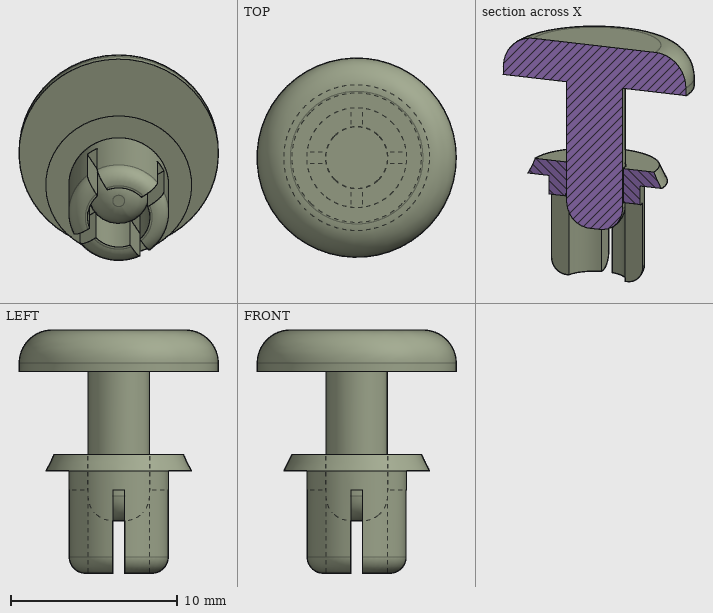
import cadquery as cq

total_height = 14.65
collar_top = 7.16
slot_top = 5.01
pin_tip = 3.16

head_diameter = 12.0
head_height = 2.5
head_round = 2.0
shank_diameter = 3.7
tip_round = 1.5

collar_height = 1.0
collar_top_diameter = 7.8
collar_base_diameter = 8.78
sleeve_diameter = 6.0
sleeve_foot_round = 1.0
bore_diameter = 3.75
slot_width = 0.7

head_base = total_height - head_height
collar_base = collar_top - collar_height


def make_pin():
    """Round-topped head and a shank with a rounded tip."""
    shank = (
        cq.Workplane("XY", origin=(0, 0, pin_tip))
        .circle(shank_diameter / 2)
        .extrude(head_base - pin_tip)
        .faces("<Z").edges().fillet(tip_round)
    )
    head = (
        cq.Workplane("XY", origin=(0, 0, head_base))
        .circle(head_diameter / 2)
        .extrude(head_height)
        .faces(">Z").edges().fillet(head_round)
    )
    return head.union(shank)


def make_slot(length_x, length_y):
    """Cutter for one slot that is open at the foot of the sleeve."""
    return cq.Workplane("XY").rect(length_x, length_y).extrude(slot_top)


def make_sleeve():
    """Collared tube, split into four legs by two crossing slots."""
    tube = (
        cq.Workplane("XY")
        .circle(sleeve_diameter / 2)
        .extrude(collar_base)
        .faces("<Z").edges().fillet(sleeve_foot_round)
    )
    collar = (
        cq.Workplane("XY", origin=(0, 0, collar_base))
        .circle(collar_base_diameter / 2)
        .workplane(offset=collar_height)
        .circle(collar_top_diameter / 2)
        .loft()
    )
    bore = cq.Workplane("XY").circle(bore_diameter / 2).extrude(collar_top)
    slot_along_x = make_slot(collar_base_diameter, slot_width)
    slot_along_y = make_slot(slot_width, collar_base_diameter)
    return tube.union(collar).cut(bore).cut(slot_along_x).cut(slot_along_y)


pin = make_pin()
sleeve = make_sleeve()

result = cq.Compound.makeCompound([pin.solids().val(), sleeve.solids().val()])